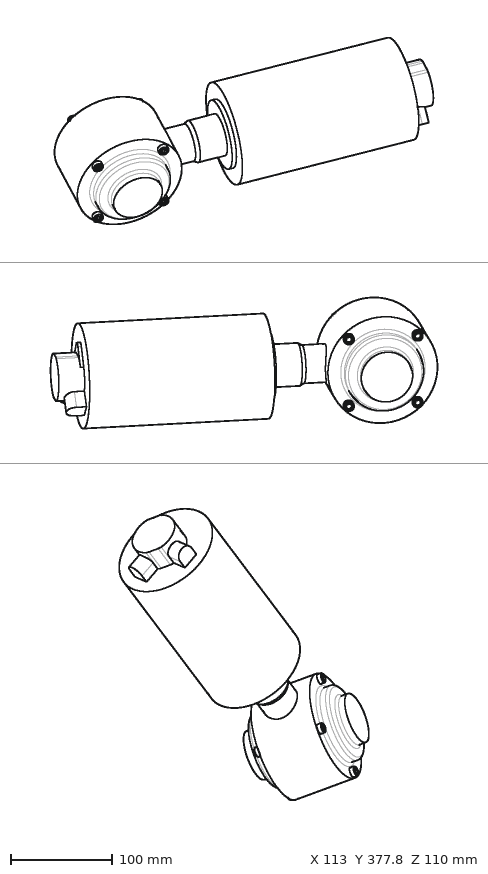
import cadquery as cq


OVERALL_LENGTH = 377.8
BODY_RADIUS = 110.0 / 2
BODY_WIDTH = 65.5
RING_WIDTH = 49.0

PORT_SPAN = 113.0
SPIGOT_RADIUS = 25.7
SHOULDER_RADIUS = 39.3
CONE_INNER_X = 47.0
CONE_OUTER_X = 44.5
PORT_FILLET = 3.0

SCREW_CIRCLE_RADIUS = 48.7
SCREW_COUNT = 4
FIRST_SCREW_ANGLE = 45
SCREW_HEAD_RADIUS = 10.2 / 2
SCREW_HEAD_HEIGHT = 5.3
SCREW_HEAD_CHAMFER = 1.0
SOCKET_ACROSS_CORNERS = 6.5
SOCKET_SIDES = 6
SOCKET_DEPTH = 2.5

STEM_RADIUS = 38.0 / 2
SLEEVE_RADIUS = 42.7 / 2
NECK_START_Y = 74.5
NECK_END_Y = 78.5
COLLAR_RADIUS = 35.0
COLLAR_THICKNESS = 4.5

ACTUATOR_RADIUS = 52.0
ACTUATOR_START_Y = 111.5
ACTUATOR_LENGTH = 185.5
ACTUATOR_END_Y = ACTUATOR_START_Y + ACTUATOR_LENGTH

TOP_Y = OVERALL_LENGTH - BODY_RADIUS
CAP_RADIUS = 47.2 / 2
CAP_FLAT_SPAN = 45.5
CAP_FLAT_FILLET = 9.5

CONNECTION_REACH = 39.3
CONNECTION_WIDTH = 18.0
CONNECTION_AXIS_HEIGHT = 10.2
CONNECTION_ANGLES = (225, 315)

POINTER_THICKNESS = 3.5
POINTER_HALF_WIDTH = 37.0 / 2
POINTER_BASE_Z = 14.7
POINTER_APEX_Z = 37.8
POINTER_TIP_RADIUS = 5.5


def cylinder_along_y(radius, start, end):
    return cq.Workplane("XZ", origin=(0, start, 0)).circle(radius).extrude(start - end)


def make_port():
    """End flange, shoulder and spigot on the +X side of the middle ring."""
    profile = [
        (RING_WIDTH / 2, 0),
        (RING_WIDTH / 2, BODY_RADIUS),
        (BODY_WIDTH / 2, BODY_RADIUS),
        (BODY_WIDTH / 2, SHOULDER_RADIUS),
        (CONE_OUTER_X, SHOULDER_RADIUS),
        (CONE_INNER_X, SPIGOT_RADIUS),
        (PORT_SPAN / 2, SPIGOT_RADIUS),
        (PORT_SPAN / 2, 0),
    ]
    port = cq.Workplane("XY").polyline(profile).close().revolve(360, (0, 0), (1, 0))

    def is_shoulder_edge(edge):
        on_shoulder = BODY_WIDTH / 2 - PORT_FILLET < edge.Center().x < PORT_SPAN / 2 - PORT_FILLET
        return edge.geomType() == "CIRCLE" and on_shoulder and edge.radius() < BODY_RADIUS - PORT_FILLET

    return port.edges().filter(is_shoulder_edge).fillet(PORT_FILLET)


def make_screws():
    """Screw heads on the +X face of the body, with hexagon sockets."""
    head_plane = cq.Workplane("YZ", origin=(BODY_WIDTH / 2, 0, 0))
    heads = (
        head_plane.polarArray(SCREW_CIRCLE_RADIUS, FIRST_SCREW_ANGLE, 360, SCREW_COUNT)
        .circle(SCREW_HEAD_RADIUS)
        .extrude(SCREW_HEAD_HEIGHT)
        .faces(">X")
        .edges()
        .chamfer(SCREW_HEAD_CHAMFER)
    )
    sockets = (
        head_plane.workplane(offset=SCREW_HEAD_HEIGHT)
        .polarArray(SCREW_CIRCLE_RADIUS, FIRST_SCREW_ANGLE, 360, SCREW_COUNT)
        .polygon(SOCKET_SIDES, SOCKET_ACROSS_CORNERS)
        .extrude(-SOCKET_DEPTH)
    )
    return heads.cut(sockets)


def make_stem():
    """Round stem from the body centre to the collar under the actuator."""
    collar_y = ACTUATOR_START_Y - COLLAR_THICKNESS
    profile = [
        (0, 0),
        (STEM_RADIUS, 0),
        (STEM_RADIUS, NECK_START_Y),
        (SLEEVE_RADIUS, NECK_END_Y),
        (SLEEVE_RADIUS, collar_y),
        (COLLAR_RADIUS, collar_y),
        (COLLAR_RADIUS, ACTUATOR_START_Y),
        (0, ACTUATOR_START_Y),
    ]
    return cq.Workplane("XY").polyline(profile).close().revolve(360, (0, 0), (0, 1))


def make_cap():
    """Cap with flats above and below, blended into its round sides."""
    flats = cq.Workplane("XY").box(2 * CAP_RADIUS, 2 * TOP_Y, CAP_FLAT_SPAN)
    cap = cylinder_along_y(CAP_RADIUS, ACTUATOR_END_Y, TOP_Y).intersect(flats)
    return cap.edges("|Y").fillet(CAP_FLAT_FILLET)


def make_connection(angle):
    """Block along a radius of the actuator, with a half-round top."""
    half_width = CONNECTION_WIDTH / 2
    block = (
        cq.Workplane("YZ", origin=(0, ACTUATOR_END_Y, 0))
        .moveTo(0, -half_width)
        .lineTo(CONNECTION_AXIS_HEIGHT, -half_width)
        .threePointArc(
            (CONNECTION_AXIS_HEIGHT + half_width, 0),
            (CONNECTION_AXIS_HEIGHT, half_width),
        )
        .lineTo(0, half_width)
        .close()
        .extrude(CONNECTION_REACH)
    )
    return block.rotate((0, 0, 0), (0, 1, 0), -angle)


def make_pointer():
    """Thin triangular plate pointing to +Z, with a rounded tip."""
    pointer = (
        cq.Workplane("XZ", origin=(0, ACTUATOR_END_Y, 0))
        .polyline(
            [
                (-POINTER_HALF_WIDTH, POINTER_BASE_Z),
                (POINTER_HALF_WIDTH, POINTER_BASE_Z),
                (0, POINTER_APEX_Z),
            ]
        )
        .close()
        .extrude(-POINTER_THICKNESS)
    )
    return pointer.edges("|Y and >Z").fillet(POINTER_TIP_RADIUS)


valve_side = make_port().union(make_screws())
middle_ring = cq.Workplane("YZ").circle(BODY_RADIUS).extrude(RING_WIDTH / 2, both=True)
result = middle_ring.union(valve_side).union(valve_side.mirror("YZ"))
result = result.union(make_stem())
result = result.union(cylinder_along_y(ACTUATOR_RADIUS, ACTUATOR_START_Y, ACTUATOR_END_Y))
result = result.union(make_cap())
for connection_angle in CONNECTION_ANGLES:
    result = result.union(make_connection(connection_angle))
result = result.union(make_pointer())